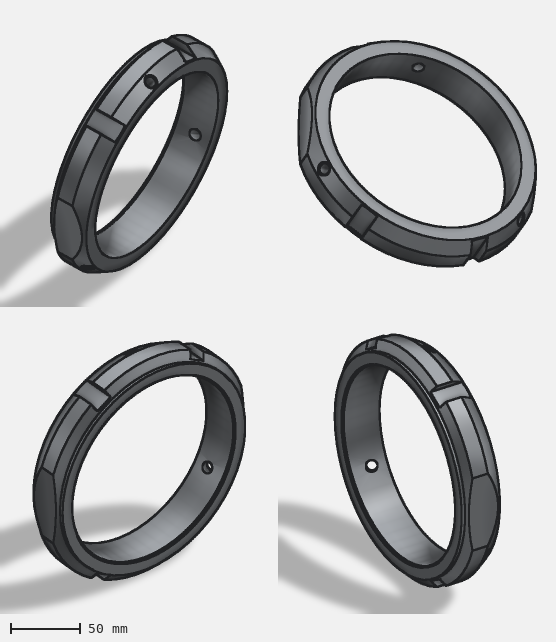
import cadquery as cq
import math

outer_diameter = 185.0
width = 32.0
bore_diameter = 150.0
recess_diameter = 152.0
recess_depth = 1.5
collar_diameter = 170.0
collar_width = 3.0
rim_start = 7.5
rim_end = 20.7
back_cone_angle = 30.0

across_flats = 175.0
slot_width = 14.0
slot_floor_distance = 86.4
slot_angles = (30, 150, 210, 330)

screw_diameter = 8.3
screw_mouth_diameter = 10.2
screw_x = 26.8
screw_count = 3

outer_radius = outer_diameter / 2
bore_radius = bore_diameter / 2
cone_slope = math.tan(math.radians(back_cone_angle))


def back_cone_radius(x):
    return outer_radius - (x - rim_end) * cone_slope


def ring_body():
    """Revolve the half section about the X axis."""
    collar_radius = collar_diameter / 2
    recess_radius = recess_diameter / 2
    section = [
        (0, recess_radius),
        (0, collar_radius),
        (collar_width, collar_radius),
        (rim_start, outer_radius),
        (rim_end, outer_radius),
        (width, back_cone_radius(width)),
        (width, bore_radius),
        (recess_depth, bore_radius),
        (recess_depth, recess_radius),
    ]
    profile = cq.Workplane("XY").polyline(section).close()
    return profile.revolve(360, (0, 0, 0), (1, 0, 0))


def flats_envelope():
    """Block whose Y faces are the two wrench flats."""
    return cq.Workplane("XY").box(2 * width, across_flats, 2 * outer_diameter)


def spanner_slot(angle):
    """Flat-floored slot across the full width of the ring."""
    slot = cq.Workplane("XY").box(
        2 * width, slot_width, outer_radius, centered=(True, True, False)
    )
    slot = slot.translate((width / 2, 0, slot_floor_distance))
    return slot.rotate((0, 0, 0), (1, 0, 0), angle)


def screw_hole(angle):
    """Countersunk hole from the back cone to the bore."""
    tilt = math.radians(back_cone_angle)
    mouth = cq.Vector(screw_x, 0, back_cone_radius(screw_x))
    inward = cq.Vector(-math.sin(tilt), 0, -math.cos(tilt))
    length = outer_diameter / 5
    sink_depth = (screw_mouth_diameter - screw_diameter) / 2
    drill = cq.Solid.makeCylinder(screw_diameter / 2, length, mouth, inward)
    sink = cq.Solid.makeCone(
        screw_mouth_diameter / 2, screw_diameter / 2, sink_depth, mouth, inward
    )
    relief = cq.Solid.makeCylinder(screw_mouth_diameter / 2, sink_depth, mouth, -inward)
    hole = cq.Workplane("XY").newObject([drill.fuse(sink, relief)])
    return hole.rotate((0, 0, 0), (1, 0, 0), angle)


result = ring_body().intersect(flats_envelope())

for slot_angle in slot_angles:
    result = result.cut(spanner_slot(slot_angle))

for index in range(screw_count):
    result = result.cut(screw_hole(index * 360 / screw_count))